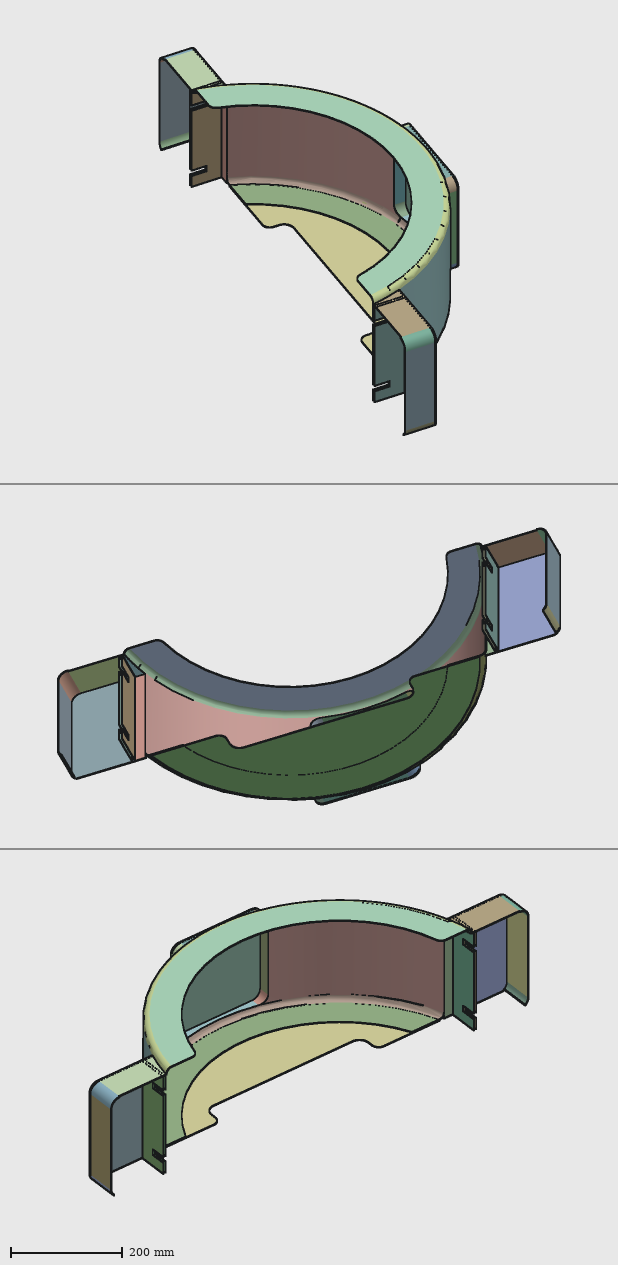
import cadquery as cq
import math

length = 955.0
depth = 305.0
height = 230.0
sheet = 2.0

outer_radius = 355.0
inner_radius = 285.0
bend_radius = 12.0
front_y = 61.0
lip_y = front_y - sheet
arm_depth = 61.0
arm_back_y = front_y + arm_depth
wall_front_y = arm_back_y - sheet
flange_corner_radius = 15.0

notch_width = 358.0
notch_depth = 46.0
notch_inner_radius = 20.0
notch_outer_radius = 15.0

box_width = 205.0
box_corner_radius = 20.0
box_bottom = 12.0
box_top = 217.0
box_back_y = lip_y + depth

arm_top = height - bend_radius
arm_corner_radius = 20.0
curl_inset = 8.0
side_sheet = 1.0
side_sheet_starts = (351.5, 357.0)
slit_heights = (31.0, 180.0)
slit_height = 12.0
slit_length = 31.0


def block(x_min, x_max, y_min, y_max, z_min, z_max):
    """Axis-aligned box given by its limits."""
    size = (x_max - x_min, y_max - y_min, z_max - z_min)
    return cq.Workplane("XY").box(*size, centered=False).translate((x_min, y_min, z_min))


def mirrored_pair(shape):
    """The shape together with its mirror image across the YZ plane."""
    return shape.union(shape.mirror("YZ"))


def disc(radius, edge_radius, z_min, z_max):
    """Solid disc with rounded rims."""
    blank = cq.Workplane("XY").workplane(offset=z_min).circle(radius).extrude(z_max - z_min)
    return blank.faces("|Z").edges().fillet(edge_radius)


def make_ring_space():
    """Space enclosed by the channel ring."""
    return disc(outer_radius - sheet, bend_radius - sheet, 2 * sheet, height - sheet)


def make_ring():
    """Channel ring cut back to an arched flange, a wall and a lower flange, on a floor plate."""
    drum = disc(outer_radius, bend_radius, sheet, height)
    opening = cq.Workplane("XY").circle(inner_radius).extrude(height)
    ring = drum.cut(make_ring_space()).cut(opening)
    ring = ring.cut(block(-length, length, -length, front_y, 0, height))
    ring = ring.cut(block(-length, length, front_y, wall_front_y, 0, arm_top))
    inner_corner_x = math.sqrt(inner_radius**2 - front_y**2)
    for side in (-1, 1):
        corner = cq.selectors.NearestToPointSelector((side * inner_corner_x, front_y, height - sheet / 2))
        ring = ring.edges("|Z").edges(corner).fillet(flange_corner_radius)
    return ring


def make_floor():
    """Floor plate under the ring, with a notch whose inner and outer corners are rounded."""
    floor_radius = outer_radius - bend_radius
    half = notch_width / 2
    back_y = wall_front_y + notch_depth
    half_notch = (
        cq.Workplane("XY")
        .moveTo(0, wall_front_y)
        .lineTo(half + notch_outer_radius, wall_front_y)
        .radiusArc((half, wall_front_y + notch_outer_radius), notch_outer_radius)
        .lineTo(half, back_y - notch_inner_radius)
        .radiusArc((half - notch_inner_radius, back_y), -notch_inner_radius)
        .lineTo(0, back_y)
        .close()
        .extrude(sheet)
    )
    floor = cq.Workplane("XY").circle(floor_radius).extrude(sheet)
    floor = floor.cut(block(-length, length, -length, wall_front_y, 0, sheet))
    return floor.cut(mirrored_pair(half_notch))


def rounded_bar(width, z_min, z_max, radius, y_min, y_max):
    """Bar along Y, centred on X = 0, with its long edges rounded."""
    bar = block(-width / 2, width / 2, y_min, y_max, z_min, z_max)
    return bar.edges("|Y").fillet(radius)


def make_box():
    """Rear box as a solid body."""
    return rounded_bar(box_width, box_bottom, box_top, box_corner_radius, 0, box_back_y)


def make_box_cavity():
    """Space inside the rear box, running forward through the ring wall."""
    return rounded_bar(
        box_width - 2 * sheet,
        box_bottom + sheet,
        box_top - sheet,
        box_corner_radius - sheet,
        0,
        box_back_y - sheet,
    )


def make_side_sheet(start_x):
    """Upright sheet between arm and ring, slit from its front edge."""
    end_x = start_x + side_sheet
    plate = block(start_x, end_x, lip_y, arm_back_y, 0, arm_top - sheet)
    for slit_z in slit_heights:
        bottom = slit_z - slit_height / 2
        slit = block(start_x, end_x, lip_y, lip_y + slit_length, bottom, bottom + slit_height)
        plate = plate.cut(slit)
    return plate


def make_arms():
    """Arms open to the front and below, whose ends curl in at the bottom."""
    outer = rounded_bar(length, -sheet, arm_top, arm_corner_radius, lip_y, arm_back_y)
    inner = rounded_bar(
        length - 2 * sheet, 0, arm_top - sheet, arm_corner_radius - sheet, lip_y, wall_front_y
    )
    arms = outer.cut(inner)

    arms = arms.cut(block(-length, length, lip_y, arm_back_y, -sheet, 0))
    top_span = length / 2 - arm_corner_radius
    arms = arms.cut(block(-top_span, top_span, lip_y, front_y, arm_top - sheet, arm_top))

    curl_span = length / 2 - curl_inset
    arms = arms.cut(block(-curl_span, curl_span, lip_y, wall_front_y, 0, arm_corner_radius))

    ring_bore = cq.Workplane("XY").circle(outer_radius - sheet).extrude(arm_top)
    arms = arms.cut(ring_bore)

    for start_x in side_sheet_starts:
        arms = arms.union(mirrored_pair(make_side_sheet(start_x)))
    return arms


ring = make_ring().union(make_floor()).cut(make_box_cavity())
box_shell = make_box().cut(make_box_cavity()).cut(make_ring_space())
box_shell = box_shell.cut(block(-length, length, 0, arm_back_y, 0, height))
result = ring.union(box_shell).union(make_arms())